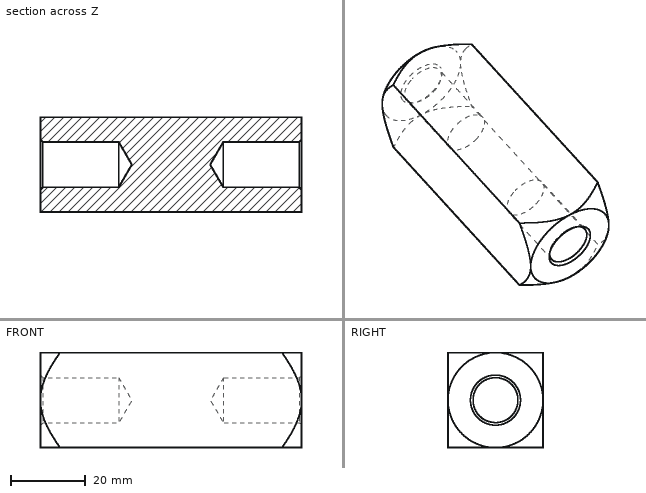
import cadquery as cq
import math

length = 69.85
width = 25.4
end_face_radius = width / 2
corner_radius = end_face_radius * math.sqrt(2)
end_cone_angle = 45.0

hole_radius = 6.0
mouth_radius = 6.7
mouth_depth = mouth_radius - hole_radius
hole_depth = 20.95
drill_tip_angle = 120.0

half_length = length / 2


def turned_envelope():
    """Cylinder through the bar's corners, tapering to the round end faces."""
    cone_length = (corner_radius - end_face_radius) * math.tan(math.radians(end_cone_angle))
    shoulder = half_length - cone_length
    profile = [
        (-half_length, 0),
        (-half_length, end_face_radius),
        (-shoulder, corner_radius),
        (shoulder, corner_radius),
        (half_length, end_face_radius),
        (half_length, 0),
    ]
    return cq.Workplane("XY").polyline(profile).close().revolve(360, (0, 0, 0), (1, 0, 0))


def blind_hole(end):
    """Countersunk hole with a conical bottom; end is -1 or +1 along X."""
    tip_length = hole_radius / math.tan(math.radians(drill_tip_angle / 2))
    depth_and_radius = [
        (0, 0),
        (0, mouth_radius),
        (mouth_depth, hole_radius),
        (hole_depth, hole_radius),
        (hole_depth + tip_length, 0),
    ]
    profile = [(end * (half_length - depth), radius) for depth, radius in depth_and_radius]
    return cq.Workplane("XY").polyline(profile).close().revolve(360, (0, 0, 0), (1, 0, 0))


bar = cq.Workplane("XY").box(length, width, width)
result = bar.intersect(turned_envelope())
for end in (-1, 1):
    result = result.cut(blind_hole(end))